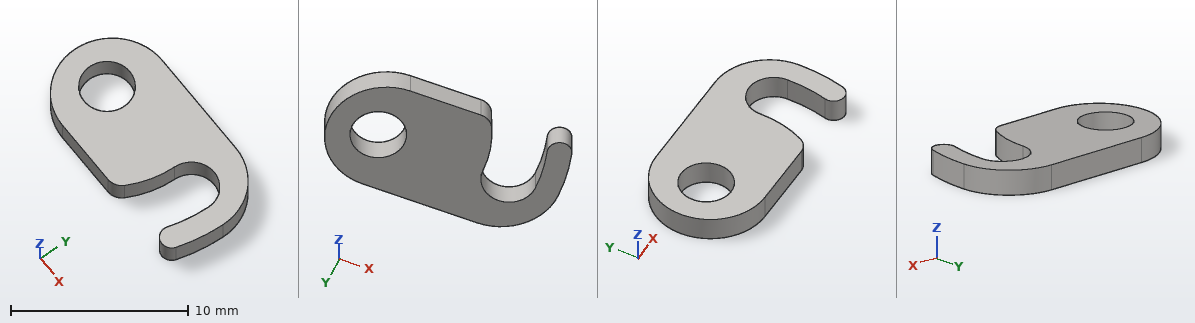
import cadquery as cq
import math

length = 14.0
width = 7.0
thickness = 1.5
pivot_x = -4.0
hole_radius = 1.6
corner_radius = 1.0

end_radius = width / 2
end_x = length / 2 - end_radius
slot_x = -pivot_x

slot_inner_radius = slot_x - hole_radius - pivot_x
slot_outer_radius = slot_x + hole_radius - pivot_x
arm_outer_radius = length / 2 - pivot_x
tip_radius = (arm_outer_radius - slot_outer_radius) / 2
arm_middle_radius = slot_outer_radius + tip_radius


def swing_point(radius, angle):
    """Point on an arc about the pivot; the angle is in radians from +X."""
    return (pivot_x + radius * math.cos(angle), radius * math.sin(angle))


tip_angle = -math.asin((end_radius - tip_radius) / arm_middle_radius)
tip_center = swing_point(arm_middle_radius, tip_angle)
tip_end = (
    tip_center[0] + tip_radius * math.sin(tip_angle),
    tip_center[1] - tip_radius * math.cos(tip_angle),
)

corner_center_y = corner_radius - end_radius
corner_center_distance = slot_inner_radius - corner_radius
corner_angle = math.asin(corner_center_y / corner_center_distance)
corner_x = swing_point(corner_center_distance, corner_angle)[0]
corner_middle_angle = (corner_angle - math.pi / 2) / 2
corner_middle = (
    corner_x + corner_radius * math.cos(corner_middle_angle),
    corner_center_y + corner_radius * math.sin(corner_middle_angle),
)

quarter = end_radius * math.sqrt(0.5)

outline = (
    cq.Workplane("XY")
    .moveTo(-end_x, -end_radius)
    .threePointArc((-length / 2, 0), (-end_x, end_radius))
    .lineTo(end_x, end_radius)
    .threePointArc((end_x + quarter, quarter), (length / 2, 0))
    .threePointArc(swing_point(arm_outer_radius, tip_angle / 2), swing_point(arm_outer_radius, tip_angle))
    .threePointArc(tip_end, swing_point(slot_outer_radius, tip_angle))
    .threePointArc(swing_point(slot_outer_radius, tip_angle / 2), (slot_x + hole_radius, 0))
    .threePointArc((slot_x, hole_radius), (slot_x - hole_radius, 0))
    .threePointArc(
        swing_point(slot_inner_radius, corner_angle / 2),
        swing_point(slot_inner_radius, corner_angle),
    )
    .threePointArc(corner_middle, (corner_x, -end_radius))
    .close()
)

plate = outline.extrude(thickness)
pivot_hole = cq.Workplane("XY").center(pivot_x, 0).circle(hole_radius).extrude(thickness)
result = plate.cut(pivot_hole)